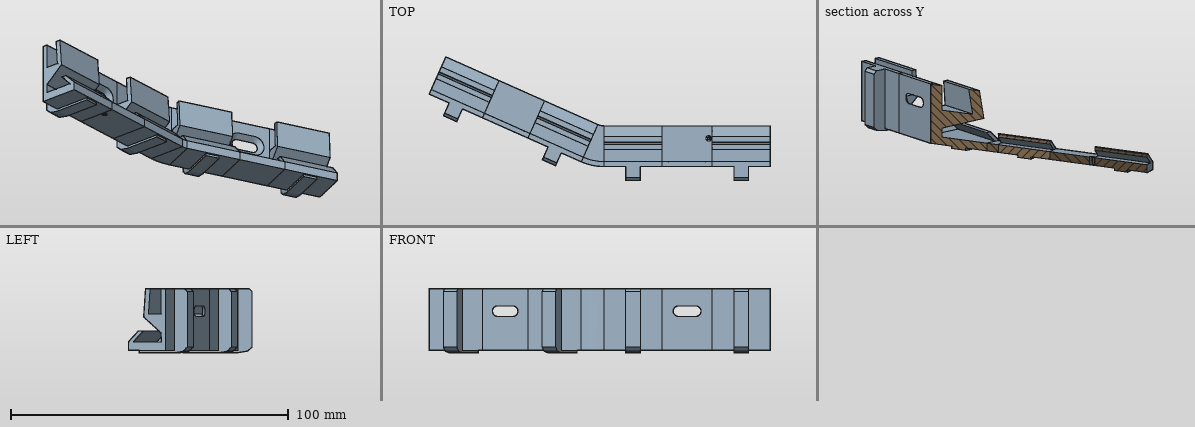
import cadquery as cq

clip_length = 21.0
plate_length = 18.0
wing_length = 2 * clip_length + plate_length
bend_angle = 24.0
bend_radius = 20.0

height = 22.3
depth = 14.8
wall_thickness = 1.8
floor_thickness = 3.1

channel_floor = 13.2
jaw_top_inner = 6.2
jaw_thickness = 1.8
jaw_lean = 0.7
jaw_corner_height = 12.0
jaw_root_height = 6.3
lip_height = 7.0
lip_tip_depth = 8.9
lip_run = lip_height - floor_thickness

rib_width = 5.3
rib_reach = 5.0
rib_drop = 0.9
rib_back_margin = 0.7
rib_top_chamfer = 1.1
rib_nose_height = 1.2
rib_nose_run = 1.6
rib_nose_drop = 0.2
rib_slope_end = 0.0

slot_length = 10.0
slot_width = 3.7
slot_height = 14.1
slot_flare = 45.0

ring_outer_diameter = 1.8
ring_inner_diameter = 0.9
ring_x = 16.7
ring_y = 10.2


def extrude_along_x(outline, start, length):
    """Prism of a (depth, height) outline, running from x = start."""
    return cq.Workplane("YZ").polyline(outline).close().extrude(length).translate((start, 0, 0))


def wall_and_floor_outline():
    return [
        (0, 0),
        (depth, 0),
        (depth, floor_thickness),
        (wall_thickness, floor_thickness),
        (wall_thickness, height),
        (0, height),
    ]


def clip_outline():
    jaw_slope = jaw_lean / (height - jaw_corner_height)
    channel_inner = jaw_top_inner + jaw_slope * (height - channel_floor)
    jaw_top_outer = jaw_top_inner + jaw_thickness
    return [
        (0, 0),
        (depth, 0),
        (depth, floor_thickness),
        (depth - lip_run, lip_height),
        (lip_tip_depth, lip_height),
        (lip_tip_depth + lip_run, floor_thickness),
        (wall_thickness, floor_thickness),
        (wall_thickness, jaw_root_height),
        (jaw_top_outer + jaw_lean, jaw_corner_height),
        (jaw_top_outer, height),
        (jaw_top_inner, height),
        (channel_inner, channel_floor),
        (wall_thickness, channel_floor),
        (wall_thickness, height),
        (0, height),
    ]


def rib_outline():
    return [
        (0, height),
        (-rib_reach + rib_top_chamfer, height),
        (-rib_reach, height - rib_top_chamfer),
        (-rib_reach, rib_nose_height),
        (-rib_reach + rib_nose_run, -rib_nose_drop),
        (rib_slope_end, -rib_drop),
        (depth - rib_back_margin, -rib_drop),
        (depth - rib_back_margin, 0),
        (0, 0),
    ]


def make_clip(start):
    """Clip section with its hanger rib at mid-length."""
    section = extrude_along_x(clip_outline(), start, clip_length)
    rib_start = start + (clip_length - rib_width) / 2
    return section.union(extrude_along_x(rib_outline(), rib_start, rib_width))


def make_plate(start):
    """Plain section between two clips, with a flared slot through its wall."""
    section = extrude_along_x(wall_and_floor_outline(), start, plate_length)
    slot = (
        cq.Workplane("XZ", origin=(start + plate_length / 2, 0, slot_height))
        .slot2D(slot_length, slot_width)
        .extrude(-wall_thickness, taper=-slot_flare)
    )
    return section.cut(slot)


def make_bend():
    """Wall and floor swept about the vertical bend axis."""
    return (
        cq.Workplane("YZ")
        .polyline(wall_and_floor_outline())
        .close()
        .revolve(bend_angle, (bend_radius, 1.2), (bend_radius, 0))
    )


def make_disc(start, diameter):
    """Cylinder through the floor at the degree mark."""
    return (
        cq.Workplane("XY", origin=(start + ring_x, ring_y, 0))
        .circle(diameter / 2)
        .extrude(floor_thickness)
    )


def turn_to_left_wing(body):
    """Swing a body lying along -X about the bend axis."""
    return body.rotate((0, bend_radius, 0), (0, bend_radius, 1), -bend_angle)


plate_start = clip_length
far_clip_start = clip_length + plate_length

clips = []
for start in (0, far_clip_start):
    clips.append(make_clip(start))
    clips.append(turn_to_left_wing(make_clip(start - wing_length)))

left_plate = turn_to_left_wing(make_plate(plate_start - wing_length))
degree_disc = make_disc(plate_start, ring_inner_diameter)
right_plate = make_plate(plate_start).cut(make_disc(plate_start, ring_outer_diameter))

bend = make_bend()

result = cq.Compound.makeCompound(
    [clip.val() for clip in clips]
    + [left_plate.val(), right_plate.val(), degree_disc.val(), bend.val()]
)